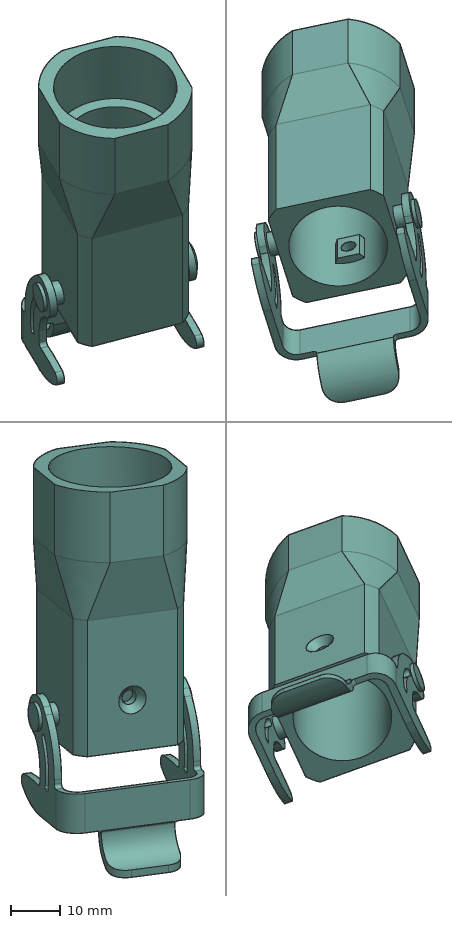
import cadquery as cq
import math

body_width = 24.2
head_width = 29.0
corner_diameter = 31.25
body_height = 29.3
taper_height = 12.7
overall_height = 80.7
hood_height = 57.2
bore_diameter = 20.0
socket_diameter = 25.0
socket_depth = 14.1

screw_z = 11.0
screw_diameter = 3.1
countersink_diameter = 6.0
countersink_depth = 1.8
pad_tip_x = -8.3
pad_tip_width = 4.7
pad_base_width = 6.6
pad_height = pad_base_width

pin_z = 5.6
pin_diameter = 4.9
pin_head_diameter = 6.0
pin_span = 33.6
pin_embed = 0.8

sheet = 1.6
latch_width = 32.05
bow_left_x = -14.9
bow_front_sheet = 1.3
bow_top_z = -6.8
bow_bottom_z = -15.3
bend_radius = 4.5

arm_left_x = -9.45
arm_right_x = -1.5
arm_bend_z = -5.0
arm_outer_radius = 18.0
arm_inner_radius = 8.3
eye_radius = 4.5
neck_eye_angle = -57.0
neck_arm_angle = 132.5
root_fillet = 0.8

slot_radius = (arm_outer_radius + arm_inner_radius) / 2
slot_center_x = 7.6
slot_width = 1.6
slot_top_angle = 147.5
slot_bottom_z = -8.55
slot_corner_radius = 0.4

hook_top_z = -9.05
hook_crown_x = 3.0
hook_crown_z = -8.8
hook_top_x = 7.3
hook_tip_x = 8.5
hook_tip_z = -10.6
hook_lower_x = 8.1
hook_lower_z = -11.8
hook_belly_x = 3.7
hook_belly_z = -14.3
hook_start_x = -2.0

tab_bottom_z = hood_height - overall_height
tab_width = 16.1
tab_end_x = -21.7
tab_corner_radius = 4.0
tab_root_fillet = 0.8
tab_outer_radius = bow_left_x + bow_front_sheet - tab_end_x


def polar(center_x, center_z, radius, degrees):
    angle = math.radians(degrees)
    return center_x + radius * math.cos(angle), center_z + radius * math.sin(angle)


def hood_section(bottom_z, width):
    """Square section whose corners are rounded by the corner cylinder."""
    half = width / 2
    corner_radius = corner_diameter / 2
    flat = math.sqrt(corner_radius ** 2 - half ** 2)
    middle = corner_radius * math.sqrt(0.5)
    return (
        cq.Workplane("XY").workplane(offset=bottom_z)
        .moveTo(-flat, -half)
        .lineTo(flat, -half)
        .threePointArc((middle, -middle), (half, -flat))
        .lineTo(half, flat)
        .threePointArc((middle, middle), (flat, half))
        .lineTo(-flat, half)
        .threePointArc((-middle, middle), (-half, flat))
        .lineTo(-half, -flat)
        .threePointArc((-middle, -middle), (-flat, -half))
        .close()
    )


def make_hood():
    head_z = body_height + taper_height
    body = hood_section(0, body_width).extrude(body_height)
    lower_wire = hood_section(body_height, body_width).val()
    upper_wire = hood_section(head_z, head_width).val()
    taper = cq.Workplane(obj=cq.Solid.makeLoft([lower_wire, upper_wire], True))
    head = hood_section(head_z, head_width).extrude(hood_height - head_z)
    hood = body.union(taper).union(head)
    hood = hood.cut(cq.Workplane("XY").circle(bore_diameter / 2).extrude(hood_height))
    socket = (
        cq.Workplane("XY").workplane(offset=hood_height - socket_depth)
        .circle(socket_diameter / 2).extrude(socket_depth)
    )
    return hood.cut(socket)


def cone_along_x(start_x, start_diameter, end_x, end_diameter):
    cone = cq.Solid.makeCone(
        start_diameter / 2, end_diameter / 2, end_x - start_x,
        pnt=cq.Vector(start_x, 0, screw_z), dir=cq.Vector(1, 0, 0),
    )
    return cq.Workplane(obj=cone)


def add_screw_hole(hood):
    side_x = -body_width / 2
    sink_end_x = side_x + countersink_depth
    pad_base_x = -bore_diameter / 2
    pad = (
        cq.Workplane("XY", origin=(0, 0, screw_z - pad_height / 2))
        .moveTo(pad_base_x, -pad_base_width / 2)
        .lineTo(pad_tip_x, -pad_tip_width / 2)
        .lineTo(pad_tip_x, pad_tip_width / 2)
        .lineTo(pad_base_x, pad_base_width / 2)
        .close()
        .extrude(pad_height)
    )
    sink = cone_along_x(side_x, countersink_diameter, sink_end_x, screw_diameter)
    hole = (
        cq.Workplane("YZ").workplane(offset=side_x).center(0, screw_z)
        .circle(screw_diameter / 2).extrude(pad_tip_x - side_x)
    )
    return hood.union(pad).cut(sink).cut(hole)


def make_pin(side):
    """Shaft from the body wall through the arm, with a larger head outside it."""
    start_y = body_width / 2 - pin_embed
    shaft = (
        cq.Workplane("XZ", origin=(0, side * start_y, 0)).center(0, pin_z)
        .circle(pin_diameter / 2).extrude(-side * (latch_width / 2 - start_y))
    )
    head = (
        cq.Workplane("XZ", origin=(0, side * latch_width / 2, 0)).center(0, pin_z)
        .circle(pin_head_diameter / 2).extrude(-side * (pin_span - latch_width) / 2)
    )
    return shaft.union(head)


def make_side_profile():
    """Side outline of bow, arm, eye and hook, extruded over the latch width."""
    outer_center_x = arm_left_x + arm_outer_radius
    inner_center_x = arm_right_x + arm_inner_radius

    rise = pin_z - arm_bend_z
    center_distance = math.hypot(outer_center_x, rise)
    center_direction = math.degrees(math.atan2(rise, -outer_center_x))
    tangent_offset = math.degrees(math.acos((arm_outer_radius - eye_radius) / center_distance))
    tangent_angle = center_direction + tangent_offset

    def on_outer(degrees):
        return polar(outer_center_x, arm_bend_z, arm_outer_radius, degrees)

    def on_inner(degrees):
        return polar(inner_center_x, arm_bend_z, arm_inner_radius, degrees)

    def on_eye(degrees):
        return polar(0, pin_z, eye_radius, degrees)

    profile = (
        cq.Workplane("XZ", origin=(0, latch_width / 2, 0))
        .moveTo(bow_left_x, bow_bottom_z)
        .lineTo(bow_left_x, bow_top_z)
        .lineTo(arm_left_x, bow_top_z)
        .lineTo(arm_left_x, arm_bend_z)
        .threePointArc(on_outer((180 + tangent_angle) / 2), on_outer(tangent_angle))
        .lineTo(*on_eye(tangent_angle))
        .threePointArc(on_eye((tangent_angle + neck_eye_angle) / 2), on_eye(neck_eye_angle))
        .lineTo(*on_inner(neck_arm_angle))
        .threePointArc(on_inner((180 + neck_arm_angle) / 2), (arm_right_x, arm_bend_z))
        .lineTo(arm_right_x, hook_top_z)
        .threePointArc((hook_crown_x, hook_crown_z), (hook_top_x, hook_top_z))
        .threePointArc((hook_tip_x, hook_tip_z), (hook_lower_x, hook_lower_z))
        .threePointArc((hook_belly_x, hook_belly_z), (hook_start_x, bow_bottom_z))
        .close()
        .extrude(latch_width)
    )
    for root_x, root_z in ((arm_left_x, bow_top_z), (arm_right_x, hook_top_z)):
        root = cq.selectors.NearestToPointSelector((root_x, 0, root_z))
        profile = profile.edges("|Y").edges(root).fillet(root_fillet)
    return profile


def make_slot():
    outer = slot_radius + slot_width / 2
    inner = slot_radius - slot_width / 2
    bottom_angle = 180 + math.degrees(math.asin((arm_bend_z - slot_bottom_z) / slot_radius))
    middle_angle = (slot_top_angle + bottom_angle) / 2

    def on_slot(radius, degrees):
        return polar(slot_center_x, arm_bend_z, radius, degrees)

    end_x, end_z = on_slot(slot_radius, slot_top_angle)
    band = (
        cq.Workplane("XZ", origin=(0, latch_width / 2, 0))
        .moveTo(*on_slot(outer, bottom_angle))
        .threePointArc(on_slot(outer, middle_angle), on_slot(outer, slot_top_angle))
        .threePointArc(
            polar(end_x, end_z, slot_width / 2, slot_top_angle - 90), on_slot(inner, slot_top_angle)
        )
        .threePointArc(on_slot(inner, middle_angle), on_slot(inner, bottom_angle))
        .close()
        .extrude(latch_width)
    )
    for radius in (outer, inner):
        corner_x, corner_z = on_slot(radius, bottom_angle)
        corner = cq.selectors.NearestToPointSelector((corner_x, 0, corner_z))
        band = band.edges("|Y").edges(corner).fillet(slot_corner_radius)
    return band


def bow_block(left_x, width, radius):
    """Block open towards +X, with its two vertical edges at left_x rounded."""
    length = hook_tip_x + 0.8 - left_x
    return (
        cq.Workplane("XY", origin=(left_x, 0, bow_bottom_z))
        .box(length, width, hood_height - bow_bottom_z, centered=(False, True, False))
        .edges("|Z and <X").fillet(radius)
    )


def make_tab():
    radius_in = tab_outer_radius - sheet
    center_z = tab_bottom_z + tab_outer_radius
    tab = (
        cq.Workplane("XZ", origin=(0, tab_width / 2, 0))
        .moveTo(tab_end_x, tab_bottom_z)
        .threePointArc(
            polar(tab_end_x, center_z, tab_outer_radius, -45), (tab_end_x + tab_outer_radius, center_z)
        )
        .lineTo(tab_end_x + tab_outer_radius, bow_bottom_z)
        .lineTo(tab_end_x + radius_in, bow_bottom_z)
        .lineTo(tab_end_x + radius_in, center_z)
        .threePointArc(polar(tab_end_x, center_z, radius_in, -45), (tab_end_x, center_z - radius_in))
        .close()
        .extrude(tab_width)
    )
    plan = (
        cq.Workplane("XY", origin=(tab_end_x, 0, tab_bottom_z))
        .box(tab_outer_radius, tab_width, bow_bottom_z - tab_bottom_z, centered=(False, True, False))
        .edges("|Z and <X").fillet(tab_corner_radius)
    )
    return tab.intersect(plan)


def make_tab_root():
    """Strip that widens the tab with a concave fillet where it meets the bow."""
    half = tab_width / 2
    outer = half + tab_root_fillet
    low_z = bow_bottom_z - tab_root_fillet
    hollow = tab_root_fillet * (1 - math.sqrt(0.5))
    return (
        cq.Workplane("YZ", origin=(bow_left_x, 0, 0))
        .moveTo(-outer, bow_bottom_z)
        .threePointArc((-half - hollow, bow_bottom_z - hollow), (-half, low_z))
        .lineTo(half, low_z)
        .threePointArc((half + hollow, bow_bottom_z - hollow), (outer, bow_bottom_z))
        .close()
        .extrude(bow_front_sheet)
    )


def make_latch():
    bow = bow_block(bow_left_x, latch_width, bend_radius)
    bow = bow.cut(bow_block(bow_left_x + bow_front_sheet, latch_width - 2 * sheet, bend_radius - sheet))
    bow = bow.intersect(make_side_profile()).cut(make_slot())
    return bow.union(make_tab()).union(make_tab_root())


result = add_screw_hole(make_hood()).union(make_latch())
for pin_side in (1, -1):
    result = result.union(make_pin(pin_side))